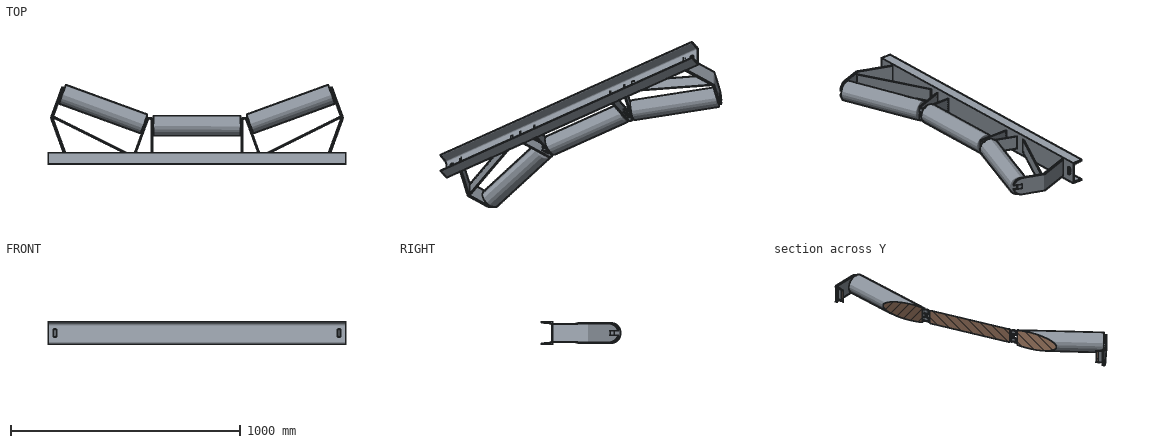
import cadquery as cq
import math


channel_length = 1300.0
channel_height = 100.0
channel_depth = 50.0
web_thickness = 5.0
flange_thickness = 7.5
flange_taper = 5.0
root_radius = 8.0
toe_radius = 4.0
slot_hole_width = 16.0
slot_hole_height = 36.0
slot_hole_end_distance = 30.0

roller_diameter = 88.9
roller_length = 380.0
roller_edge_radius = 4.0
shaft_size = 20.0
center_axis_y = 117.5
trough_angle = 20.0
side_center_x = -409.0
side_center_y = 190.37

outer_thickness = 8.0
inner_thickness = 5.0
outer_width = 80.0
inner_width = 60.0
roller_gap = 4.0
outer_inside_radius = 6.0
inner_inside_radius = 8.0
outer_bend_y = 152.0

brace_thickness = 5.0
brace_width = 60.0
brace_foot_x = -319.0

tilt = math.radians(trough_angle)
sin_tilt = math.sin(tilt)
cos_tilt = math.cos(tilt)
tan_tilt = math.tan(tilt)
half_roller = roller_length / 2
near_face = half_roller + roller_gap
outer_far_face = near_face + outer_thickness
inner_far_face = near_face + inner_thickness
slot_bottom = -shaft_size / 2
cutter_reach = 2 * outer_thickness
slot_cut_height = outer_width


def place_side(body):
    """Move a body from the roller's own frame (axis on X) to the left, tilted roller."""
    return body.rotate((0, 0, 0), (0, 0, 1), -trough_angle).translate((side_center_x, side_center_y, 0))


def place_center(body):
    """Move a body from the roller's own frame to the middle, level roller."""
    return body.translate((0, center_axis_y, 0))


def side_point(along, across):
    """XY point given in the left roller's own frame."""
    return (
        side_center_x + along * cos_tilt + across * sin_tilt,
        side_center_y - along * sin_tilt + across * cos_tilt,
    )


def on_tilted_line(point, y):
    """Point at height y on the line through point that is square to the left roller's axis."""
    return (point[0] + (y - point[1]) * tan_tilt, y)


def mirrored(body):
    return body.mirror("YZ")


def make_channel():
    """Rolled channel with flanges that thin towards the toes."""
    taper_slope = math.tan(math.radians(flange_taper))
    half_height = channel_height / 2
    toe_z = half_height - flange_thickness + taper_slope * channel_depth / 2
    root_z = toe_z - (channel_depth - web_thickness) * taper_slope
    channel = (
        cq.Workplane("YZ")
        .polyline([
            (0, -half_height),
            (-channel_depth, -half_height),
            (-channel_depth, -toe_z),
            (-web_thickness, -root_z),
            (-web_thickness, root_z),
            (-channel_depth, toe_z),
            (-channel_depth, half_height),
            (0, half_height),
        ])
        .close()
        .extrude(channel_length)
        .translate((-channel_length / 2, 0, 0))
    )
    for side in (-1, 1):
        root = cq.selectors.NearestToPointSelector((0, -web_thickness, side * root_z))
        channel = channel.edges("|X").edges(root).fillet(root_radius)
        toe = cq.selectors.NearestToPointSelector((0, -channel_depth, side * toe_z))
        channel = channel.edges("|X").edges(toe).fillet(toe_radius)
    hole_x = channel_length / 2 - slot_hole_end_distance
    holes = (
        cq.Workplane("XZ")
        .pushPoints([(-hole_x, 0), (hole_x, 0)])
        .slot2D(slot_hole_height, slot_hole_width, 90)
        .extrude(channel_depth)
    )
    return channel.cut(holes)


def make_roller(left_end, right_end):
    """Roller on a shaft that reaches left_end and right_end from the roller middle."""
    tube = (
        cq.Workplane("YZ")
        .circle(roller_diameter / 2)
        .extrude(roller_length)
        .translate((-half_roller, 0, 0))
        .faces("<X or >X")
        .edges()
        .fillet(roller_edge_radius)
    )
    shaft = (
        cq.Workplane("XY")
        .box(left_end + right_end, shaft_size, shaft_size)
        .translate(((right_end - left_end) / 2, 0, 0))
    )
    return tube.union(shaft)


def make_slot_cutter():
    """Opening for the shaft ends: shaft-wide, from the shaft's underside up through the strap end."""
    return (
        cq.Workplane("XY")
        .box(2 * outer_far_face, slot_cut_height, shaft_size)
        .translate((0, slot_bottom + slot_cut_height / 2, 0))
    )


def make_round_end_cutter(along):
    """Waste around a half-round strap end, whose centre is at the bottom of the shaft slot."""
    waste = (
        cq.Workplane("YZ")
        .rect(outer_width, 2 * outer_width)
        .extrude(cutter_reach, both=True)
        .translate((0, outer_width / 2, 0))
    )
    rounding = cq.Workplane("YZ").circle(outer_width / 2).extrude(cutter_reach, both=True)
    return waste.cut(rounding).translate((along, slot_bottom, 0))


def make_outer_bracket():
    """Left end strap: leans outwards from the channel, then bends in along the roller end."""
    tip = slot_bottom + outer_width / 2
    outer_face = -outer_far_face
    inner_face = -near_face
    outer_bend = on_tilted_line(side_point(outer_face, 0), outer_bend_y)
    inner_bend = on_tilted_line(side_point(inner_face, 0), outer_bend_y)
    foot_offset = outer_bend_y * tan_tilt
    bracket = (
        cq.Workplane("XY")
        .polyline([
            (outer_bend[0] + foot_offset, 0),
            outer_bend,
            side_point(outer_face, tip),
            side_point(inner_face, tip),
            inner_bend,
            (inner_bend[0] + foot_offset, 0),
        ])
        .close()
        .extrude(outer_width / 2, both=True)
    )
    outside_radius = outer_inside_radius + outer_thickness
    for corner, radius in ((outer_bend, outside_radius), (inner_bend, outer_inside_radius)):
        bend = cq.selectors.NearestToPointSelector((*corner, 0))
        bracket = bracket.edges("|Z").edges(bend).fillet(radius)
    bracket = bracket.cut(place_side(make_round_end_cutter(-near_face)))
    return bracket.cut(place_side(make_slot_cutter()))


def make_inner_bracket():
    """Strap folded over between two rollers: one leg square to each roller axis."""
    outside_radius = inner_inside_radius + inner_thickness
    tilted_leg = side_point(near_face, 0)
    bend_x = -near_face - outside_radius
    bend_y = tilted_leg[1] + ((bend_x - tilted_leg[0]) * cos_tilt - outside_radius) / sin_tilt

    def on_bend(radius, degrees):
        angle = math.radians(degrees)
        return (bend_x + radius * math.cos(angle), bend_y + radius * math.sin(angle))

    bend_end = 180 - trough_angle
    outer_tangent = on_bend(outside_radius, bend_end)
    inner_tangent = on_bend(inner_inside_radius, bend_end)
    bracket = (
        cq.Workplane("XY")
        .moveTo(bend_x + outside_radius, 0)
        .lineTo(*on_bend(outside_radius, 0))
        .threePointArc(on_bend(outside_radius, bend_end / 2), outer_tangent)
        .lineTo(*on_tilted_line(outer_tangent, 0))
        .lineTo(*on_tilted_line(inner_tangent, 0))
        .lineTo(*inner_tangent)
        .threePointArc(on_bend(inner_inside_radius, bend_end / 2), on_bend(inner_inside_radius, 0))
        .lineTo(bend_x + inner_inside_radius, 0)
        .close()
        .extrude(inner_width / 2, both=True)
    )
    return bracket.cut(place_side(make_slot_cutter())).cut(place_center(make_slot_cutter()))


def make_brace():
    """Diagonal flat from the channel up to the outer bracket, just above its bend."""
    inner_face = side_point(-near_face, 0)
    bend_tangent_y = outer_bend_y + outer_inside_radius * sin_tilt
    low_x, low_y = on_tilted_line(inner_face, bend_tangent_y)
    slope = math.atan2(low_y, brace_foot_x - low_x)
    end_length = brace_thickness / math.cos(slope - tilt)
    return (
        cq.Workplane("XY")
        .polyline([
            (brace_foot_x, 0),
            (low_x, low_y),
            (low_x + end_length * sin_tilt, low_y + end_length * cos_tilt),
            (brace_foot_x + brace_thickness / math.sin(slope), 0),
        ])
        .close()
        .extrude(brace_width / 2, both=True)
    )


channel = make_channel()
center_roller = place_center(make_roller(inner_far_face, inner_far_face))
left_bodies = [
    place_side(make_roller(outer_far_face, inner_far_face)),
    make_outer_bracket(),
    make_inner_bracket(),
    make_brace(),
]

bodies = [channel.val(), center_roller.val()]
for body in left_bodies:
    bodies.append(body.val())
    bodies.append(mirrored(body).val())

result = cq.Compound.makeCompound(bodies)